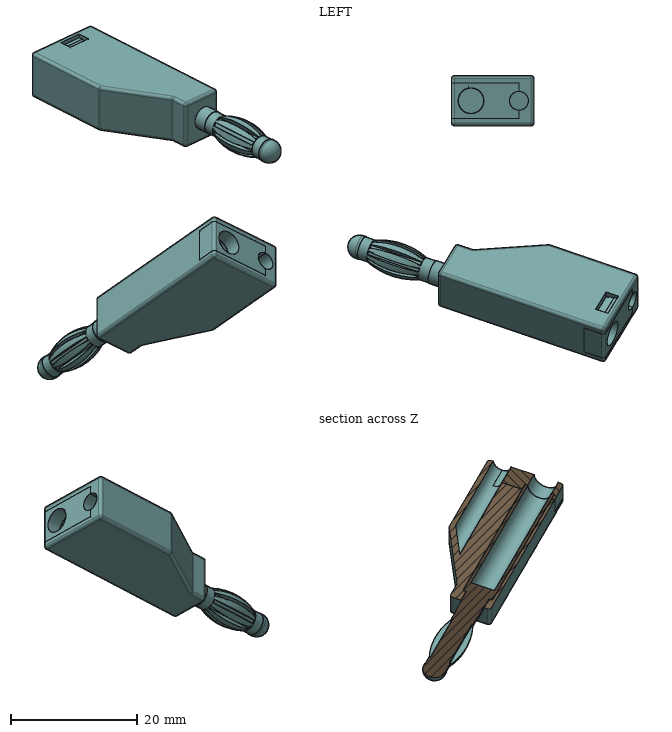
import cadquery as cq
import math

total_length = 45.97

housing_length = 29.1
housing_width = 13.1
housing_height = 8.0
edge_radius = 0.5
wall = 1.15
pin_to_side = 3.1
nose_width = 7.1
slope_start = 15.6
slope_end = 26.1

insert_length = 3.6
insert_width = 10.7
latch_start = 1.0
latch_length = 2.1
latch_flat = 0.7
latch_width = 4.0
latch_height = 0.5
latch_to_side = 3.45

socket_entry_diameter = 4.1
cable_hole_diameter = 3.0

shaft_diameter = 3.85
sleeve_diameter = 3.7
barrel_diameter = 5.0
socket_diameter = 4.0
barrel_start = 2.6
barrel_end = 27.0
socket_floor = 2.0
collar_end = 31.3
cage_start = 33.05
cage_length = 9.0
cage_diameter = 5.45
tip_band = 0.4
slot_count = 10
slot_width = 0.6
slot_length = 8.85
slot_floor_radius = 1.65

side_y = pin_to_side
far_side_y = side_y - housing_width
nose_y = side_y - nose_width
insert_edge_y = side_y - insert_width
insert_height = housing_height - 2 * wall
insert_top = insert_height / 2
latch_y = side_y - latch_to_side - latch_width / 2
latch_end = latch_start + latch_length
cage_end = cage_start + cage_length
cage_middle = (cage_start + cage_end) / 2
dome_radius = shaft_diameter / 2
dome_start = total_length - dome_radius
tip_start = dome_start - tip_band


def rod(diameter, start, end, y=0.0):
    """Cylinder along X from start to end."""
    return cq.Workplane("YZ", origin=(start, y, 0)).circle(diameter / 2).extrude(end - start)


def plate(outline):
    """Outline in XY extruded over the full height of the housing."""
    sketch = cq.Workplane("XY", origin=(0, 0, -housing_height / 2)).polyline(outline).close()
    return sketch.extrude(housing_height)


def outer_envelope():
    """Rounded outside shape shared by the housing and the insert."""
    outline = [
        (0, side_y),
        (housing_length, side_y),
        (housing_length, nose_y),
        (slope_end, nose_y),
        (slope_start, far_side_y),
        (0, far_side_y),
    ]
    return plate(outline).edges().fillet(edge_radius)


def insert_seat():
    """Space of the insert, open to the cable face and to the +Y side."""
    seat = cq.Workplane("XY", origin=(0, insert_edge_y, 0))
    return seat.box(insert_length, insert_width, insert_height, centered=(False, False, True))


def cable_hole():
    """Round hole on the edge of the insert, ending one wall inside the sloped side."""
    slope_run = slope_end - slope_start
    slope_rise = nose_y - far_side_y
    wall_along_x = wall * math.hypot(slope_run, slope_rise) / slope_rise
    inside_slope = [
        (0, nose_y),
        (slope_end - wall_along_x, nose_y),
        (slope_start - wall_along_x, far_side_y),
        (0, far_side_y),
    ]
    hole = rod(cable_hole_diameter, 0, slope_end, insert_edge_y)
    return hole.intersect(plate(inside_slope))


def latch_window():
    window = cq.Workplane("XY", origin=((latch_start + latch_end) / 2, latch_y, insert_top))
    return window.rect(latch_length, latch_width).extrude(wall)


def make_housing():
    housing = outer_envelope().cut(insert_seat())
    housing = housing.cut(latch_window())
    housing = housing.cut(cable_hole())
    housing = housing.cut(rod(barrel_diameter, insert_length, barrel_end))
    return housing.cut(rod(shaft_diameter, barrel_end, housing_length))


def latch():
    """Hook with a short flat top and a ramp that falls toward +X."""
    hook_top = insert_top + latch_height
    profile = [
        (latch_start, insert_top),
        (latch_start, hook_top),
        (latch_start + latch_flat, hook_top),
        (latch_end, insert_top),
    ]
    sketch = cq.Workplane("XZ", origin=(0, latch_y, 0)).polyline(profile).close()
    return sketch.extrude(latch_width / 2, both=True)


def make_insert():
    insert = outer_envelope().intersect(insert_seat()).union(latch())
    insert = insert.cut(cable_hole())
    insert = insert.cut(rod(socket_entry_diameter, 0, barrel_start))
    return insert.cut(rod(barrel_diameter, barrel_start, insert_length))


def barrel():
    socket = rod(socket_diameter, barrel_start, barrel_end - socket_floor)
    return rod(barrel_diameter, barrel_start, barrel_end).cut(socket)


def spring_cage():
    """Barrel-shaped cage with lengthwise slots between its ribs."""
    end_radius = sleeve_diameter / 2
    profile = (
        cq.Workplane("XY")
        .moveTo(cage_start, 0)
        .lineTo(cage_start, end_radius)
        .threePointArc((cage_middle, cage_diameter / 2), (cage_end, end_radius))
        .lineTo(cage_end, 0)
        .close()
    )
    cage = profile.revolve(360, (0, 0, 0), (1, 0, 0))
    slot = (
        cq.Workplane("XZ", origin=(cage_middle, -slot_floor_radius, 0))
        .rect(slot_length, slot_width)
        .extrude(cage_diameter)
    )
    for index in range(slot_count):
        cage = cage.cut(slot.rotate((0, 0, 0), (1, 0, 0), index * 360 / slot_count))
    return cage


def tip():
    """Short straight band closed by a half-sphere dome."""
    profile = (
        cq.Workplane("XY")
        .moveTo(dome_start, 0)
        .lineTo(dome_start, dome_radius)
        .radiusArc((total_length, 0), dome_radius)
        .close()
    )
    dome = profile.revolve(360, (0, 0, 0), (1, 0, 0))
    return rod(shaft_diameter, tip_start, dome_start).union(dome)


def make_pin():
    pin = barrel().union(rod(shaft_diameter, barrel_end, collar_end))
    pin = pin.union(rod(sleeve_diameter, collar_end, cage_start))
    pin = pin.union(spring_cage())
    pin = pin.union(rod(sleeve_diameter, cage_end, tip_start))
    return pin.union(tip())


housing = make_housing()
insert = make_insert()
pin = make_pin()
result = cq.Compound.makeCompound([body.solids().val() for body in (housing, insert, pin)])